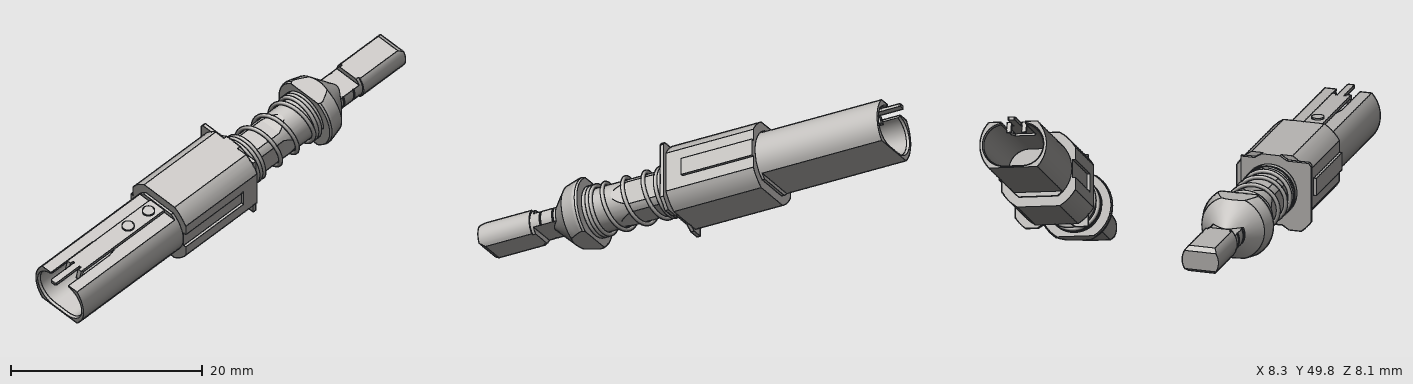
import math

import cadquery as cq


TIP_Y = 23.3
TIP_CHAMFER_LENGTH = 0.6
TIP_HALF_HEIGHT = 1.0
BLADE_RADIUS = 2.0
BLADE_HALF_HEIGHT = 1.4
BLADE_ROUND_END_Y = 17.15
BLADE_FLAT_END_Y = 16.8
NECK_RADIUS = 1.84
NECK_HALF_HEIGHT = 0.8
NECK_GROOVE_YS = (15.95, 14.45)
NECK_GROOVE_WIDTH = 0.15
NECK_GROOVE_DEPTH = 0.06
HEAD_BACK_Y = 10.4
HEAD_HALF_HEIGHT = 3.2
CONE_BASE_RADIUS = 3.45
CONE_BASE_Y = 12.45
RIM_RADIUS = 3.85
RIM_TOP_Y = 10.95
RIM_BOTTOM_Y = 10.65
RIM_LOWER_RADIUS = 3.75
SHAFT_RADIUS = 2.37
SHAFT_HALF_WIDTH = 1.97
RAMP_START_Y = 5.4
RAMP_END_Y = 7.1

COLLAR_RADIUS = 2.87
COLLAR_LENGTH = 0.58
WIRE_DIAMETER = 0.42
COIL_INSET = 0.02
COIL_RADIUS = COLLAR_RADIUS - COIL_INSET - WIRE_DIAMETER / 2
CLOSED_TURNS = 3
OPEN_TURNS = 3
CLOSED_PITCH = 0.43
END_COIL_OVERLAP = 0.06
SPRING_START_Y = COLLAR_LENGTH - END_COIL_OVERLAP
SPRING_END_Y = HEAD_BACK_Y + END_COIL_OVERLAP
OPEN_PITCH = (SPRING_END_Y - SPRING_START_Y - 2 * CLOSED_TURNS * CLOSED_PITCH) / OPEN_TURNS
POINTS_PER_TURN = 16

FLANGE_THICKNESS = 0.4
FLANGE_LEFT = -4.4
FLANGE_RIGHT = 3.3
FLANGE_BOTTOM = -4.2
FLANGE_TOP = 3.4
FLANGE_ROUND_RADIUS = 5.37
KEY_HALF_WIDTH_OUTER = 1.0
KEY_HALF_WIDTH_INNER = 1.8
NOTCH_CLEARANCE = 0.2
HOUSING_HALF_WIDTH = 3.9
HOUSING_RADIUS = 4.5
HOUSING_FRONT_Y = -10.9
RIDGE_HEIGHT = 0.3
RIDGE_HALF_WIDTH = 0.95
RIDGE_START_Y = -2.4

TUBE_RADIUS = 3.53
TUBE_HALF_HEIGHT = 2.42
BORE_FLAT_HALF_WIDTH = 0.95
BORE_ROUND_RADIUS = 2.2
FLARE_DEPTH = 0.3
FLARE_WIDTH = 0.11
TUBE_FRONT_Y = -25.55
RING_HALF_HEIGHT = 2.88
RING_LENGTH = 0.3
SLOT_HALF_WIDTH = 1.3
SLOT_START_Y = -18.6
SLOT_TAPER_LENGTH = 0.9

STRIP_HALF_WIDTH = 1.03
STRIP_THICKNESS = 0.33
STRIP_END_Y = -23.4
FINGER_HALF_WIDTH = 0.37
FINGER_END_Y = -26.5
FINGER_ROOT_Y = -23.0
FINGER_CHAMFER = 0.1
TAB_INNER_X = 0.57
TAB_DEPTH = 1.1
TAB_LEAN = 0.3
RIVET_RADIUS = 0.65
RIVET_HEIGHT = 0.17
RIVET_YS = (-12.5, -15.5)


def box(x_range, y_range, z_range):
    """Axis-aligned box from (low, high) pairs."""
    lows, highs = zip(x_range, y_range, z_range)
    sizes = [high - low for low, high in zip(lows, highs)]
    return cq.Workplane("XY").box(*sizes, centered=False).translate(lows)


def cylinder_y(radius, y_low, y_high):
    """Cylinder about the Y axis."""
    return cq.Workplane("XZ", origin=(0, y_high, 0)).circle(radius).extrude(y_high - y_low)


def prism_y(points, y_low, y_high):
    """Prism along Y with an (x, z) outline."""
    return cq.Workplane("XZ", origin=(0, y_high, 0)).polyline(points).close().extrude(y_high - y_low)


def flatted_rod(radius, half_height, y_low, y_high):
    """Round rod along Y with flats on its top and bottom."""
    slab = box((-radius, radius), (y_low, y_high), (-half_height, half_height))
    return cylinder_y(radius, y_low, y_high).intersect(slab)


def make_blade():
    """Flat-sided blade with a wedge tip, and the thinner grooved neck behind it."""
    rod = cylinder_y(BLADE_RADIUS, BLADE_ROUND_END_Y, TIP_Y)
    rod = rod.union(cylinder_y(NECK_RADIUS, CONE_BASE_Y, BLADE_ROUND_END_Y))
    for groove_y in NECK_GROOVE_YS:
        groove_ends = (groove_y - NECK_GROOVE_WIDTH / 2, groove_y + NECK_GROOVE_WIDTH / 2)
        groove = cylinder_y(NECK_RADIUS, *groove_ends)
        groove = groove.cut(cylinder_y(NECK_RADIUS - NECK_GROOVE_DEPTH, *groove_ends))
        rod = rod.cut(groove)
    side_outline = [
        (CONE_BASE_Y, NECK_HALF_HEIGHT),
        (BLADE_FLAT_END_Y, NECK_HALF_HEIGHT),
        (BLADE_FLAT_END_Y, BLADE_HALF_HEIGHT),
        (TIP_Y - TIP_CHAMFER_LENGTH, BLADE_HALF_HEIGHT),
        (TIP_Y, TIP_HALF_HEIGHT),
    ]
    lower_side = [(y, -z) for y, z in reversed(side_outline)]
    envelope = (
        cq.Workplane("YZ").polyline(side_outline + lower_side).close().extrude(BLADE_RADIUS, both=True)
    )
    return rod.intersect(envelope)


def make_head():
    """Bell head: a 45 degree cone over a flared skirt, with flats above and below."""
    bell = (
        cq.Workplane("XY")
        .moveTo(0, HEAD_BACK_Y)
        .lineTo(RIM_LOWER_RADIUS, HEAD_BACK_Y)
        .lineTo(RIM_RADIUS, RIM_BOTTOM_Y)
        .lineTo(RIM_RADIUS, RIM_TOP_Y)
        .lineTo(CONE_BASE_RADIUS, CONE_BASE_Y)
        .lineTo(0, CONE_BASE_Y + CONE_BASE_RADIUS)
        .close()
        .revolve(360, (0, 0, 0), (0, 1, 0))
    )
    slab = box(
        (-RIM_RADIUS, RIM_RADIUS),
        (HEAD_BACK_Y, CONE_BASE_Y + CONE_BASE_RADIUS),
        (-HEAD_HALF_HEIGHT, HEAD_HALF_HEIGHT),
    )
    cone_top = box(
        (-RIM_RADIUS, RIM_RADIUS),
        (CONE_BASE_Y + CONE_BASE_RADIUS - NECK_HALF_HEIGHT, TIP_Y),
        (-RIM_RADIUS, RIM_RADIUS),
    )
    return bell.intersect(slab).cut(cone_top)


def make_shaft():
    """Round shaft with four flats that run out in ramps towards the head."""
    shaft = cylinder_y(SHAFT_RADIUS, 0, HEAD_BACK_Y)
    flat_cutter = (
        cq.Workplane("YZ")
        .polyline(
            [
                (COLLAR_LENGTH, SHAFT_HALF_WIDTH),
                (RAMP_START_Y, SHAFT_HALF_WIDTH),
                (RAMP_END_Y, SHAFT_RADIUS),
                (COLLAR_LENGTH, SHAFT_RADIUS),
            ]
        )
        .close()
        .extrude(SHAFT_RADIUS, both=True)
    )
    for quarter in range(4):
        shaft = shaft.cut(flat_cutter.rotate((0, 0, 0), (0, 1, 0), 90 * quarter))
    return shaft.union(cylinder_y(COLLAR_RADIUS, 0, COLLAR_LENGTH))


def spring_point(turn):
    """Centre of the wire after the given number of turns, starting on the +X side."""
    open_turn = min(max(turn - CLOSED_TURNS, 0), OPEN_TURNS)
    y = SPRING_START_Y + CLOSED_PITCH * (turn - open_turn) + OPEN_PITCH * open_turn
    angle = 2 * math.pi * turn
    return cq.Vector(COIL_RADIUS * math.cos(angle), y, -COIL_RADIUS * math.sin(angle))


def make_spring():
    """Right-handed compression spring with closed coils at both ends."""
    steps = (2 * CLOSED_TURNS + OPEN_TURNS) * POINTS_PER_TURN
    points = [spring_point(step / POINTS_PER_TURN) for step in range(steps + 1)]
    path = cq.Workplane("XY").add(cq.Edge.makeSpline(points)).toPending()
    start_plane = cq.Plane(origin=points[0].toTuple(), xDir=(1, 0, 0), normal=(0, 0, -1))
    return cq.Workplane(start_plane).circle(WIRE_DIAMETER / 2).sweep(path.wire(), isFrenet=True)


def make_flange():
    """Flange plate with a key on its top edge and a matching notch in its bottom edge."""
    plate = box((FLANGE_LEFT, FLANGE_RIGHT), (-FLANGE_THICKNESS, 0), (FLANGE_BOTTOM, FLANGE_TOP))
    plate = plate.intersect(cylinder_y(FLANGE_ROUND_RADIUS, -FLANGE_THICKNESS, 0))
    key = [
        (-KEY_HALF_WIDTH_INNER, FLANGE_TOP),
        (KEY_HALF_WIDTH_INNER, FLANGE_TOP),
        (KEY_HALF_WIDTH_OUTER, HOUSING_HALF_WIDTH),
        (-KEY_HALF_WIDTH_OUTER, HOUSING_HALF_WIDTH),
    ]
    notch_shift = FLANGE_BOTTOM - FLANGE_TOP
    notch = [(x + math.copysign(NOTCH_CLEARANCE, x), z + notch_shift) for x, z in key]
    plate = plate.cut(prism_y(notch, -FLANGE_THICKNESS, 0))
    return plate.union(prism_y(key, -FLANGE_THICKNESS, 0))


def make_housing():
    """Square body with rounded corners, a ridge on its -X side and a slot on its +X side."""
    across = (-HOUSING_HALF_WIDTH, HOUSING_HALF_WIDTH)
    body = box(across, (HOUSING_FRONT_Y, -FLANGE_THICKNESS), across)
    body = body.intersect(cylinder_y(HOUSING_RADIUS, HOUSING_FRONT_Y, -FLANGE_THICKNESS))
    run = (HOUSING_FRONT_Y, RIDGE_START_Y)
    ridge_span = (-RIDGE_HALF_WIDTH, RIDGE_HALF_WIDTH)
    ridge = box((-HOUSING_HALF_WIDTH - RIDGE_HEIGHT, -HOUSING_HALF_WIDTH), run, ridge_span)
    slot = box((HOUSING_HALF_WIDTH - RIDGE_HEIGHT, HOUSING_HALF_WIDTH), run, ridge_span)
    return body.union(ridge).cut(slot)


def stadium(round_radius, y):
    """Outline of the bore at the given Y: flat floor and roof joined by half circles, facing +Y."""
    plane = cq.Plane(origin=(0, y, 0), xDir=(-1, 0, 0), normal=(0, 1, 0))
    return cq.Workplane(plane).slot2D(2 * (BORE_FLAT_HALF_WIDTH + round_radius), 2 * round_radius)


def make_tube():
    """Tube with flat top and bottom, a flared mouth, a slot along the top and a ring at its root."""
    tube = flatted_rod(TUBE_RADIUS, TUBE_HALF_HEIGHT, TUBE_FRONT_Y, HOUSING_FRONT_Y)
    bore = stadium(BORE_ROUND_RADIUS, TUBE_FRONT_Y).extrude(HOUSING_FRONT_Y - TUBE_FRONT_Y)
    flare = (
        stadium(BORE_ROUND_RADIUS + FLARE_WIDTH, TUBE_FRONT_Y)
        .workplane(offset=FLARE_DEPTH)
        .slot2D(2 * (BORE_FLAT_HALF_WIDTH + BORE_ROUND_RADIUS), 2 * BORE_ROUND_RADIUS)
        .loft(ruled=True)
    )
    ring = flatted_rod(TUBE_RADIUS, RING_HALF_HEIGHT, HOUSING_FRONT_Y - RING_LENGTH, HOUSING_FRONT_Y)
    slot = (
        cq.Workplane("XY")
        .polyline(
            [
                (-STRIP_HALF_WIDTH, SLOT_START_Y),
                (STRIP_HALF_WIDTH, SLOT_START_Y),
                (SLOT_HALF_WIDTH, SLOT_START_Y - SLOT_TAPER_LENGTH),
                (SLOT_HALF_WIDTH, TUBE_FRONT_Y),
                (-SLOT_HALF_WIDTH, TUBE_FRONT_Y),
                (-SLOT_HALF_WIDTH, SLOT_START_Y - SLOT_TAPER_LENGTH),
            ]
        )
        .close()
        .extrude(TUBE_HALF_HEIGHT)
    )
    return tube.union(ring).cut(bore).cut(flare).cut(slot)


def make_contact_strip():
    """Strip on the tube with two rivet heads, a long end finger and two bent-down tabs."""
    strip_top = TUBE_HALF_HEIGHT + STRIP_THICKNESS
    thickness = (TUBE_HALF_HEIGHT, strip_top)
    strip = box((-STRIP_HALF_WIDTH, STRIP_HALF_WIDTH), (FINGER_ROOT_Y, HOUSING_FRONT_Y), thickness)
    finger = box((-FINGER_HALF_WIDTH, FINGER_HALF_WIDTH), (FINGER_END_Y, FINGER_ROOT_Y), thickness)
    finger = finger.edges("<Y and |Z").chamfer(FINGER_CHAMFER)
    strip = strip.union(finger)
    tab_bottom = strip_top - TAB_DEPTH
    tab_tip_y = STRIP_END_Y - TAB_LEAN
    tab_outline = [
        (FINGER_ROOT_Y, strip_top),
        (STRIP_END_Y, strip_top),
        (tab_tip_y, tab_bottom),
        (tab_tip_y + STRIP_THICKNESS, tab_bottom),
        (STRIP_END_Y + STRIP_THICKNESS, TUBE_HALF_HEIGHT),
        (FINGER_ROOT_Y, TUBE_HALF_HEIGHT),
    ]
    tab_width = STRIP_HALF_WIDTH - TAB_INNER_X
    for tab_start_x in (-STRIP_HALF_WIDTH, TAB_INNER_X):
        tab = cq.Workplane("YZ", origin=(tab_start_x, 0, 0)).polyline(tab_outline).close()
        strip = strip.union(tab.extrude(tab_width))
    for rivet_y in RIVET_YS:
        rivet = cq.Workplane("XY", origin=(0, rivet_y, strip_top)).circle(RIVET_RADIUS)
        strip = strip.union(rivet.extrude(RIVET_HEIGHT))
    return strip


result = make_housing().union(make_flange()).union(make_tube()).union(make_contact_strip())
result = result.union(make_shaft()).union(make_head()).union(make_blade()).union(make_spring())